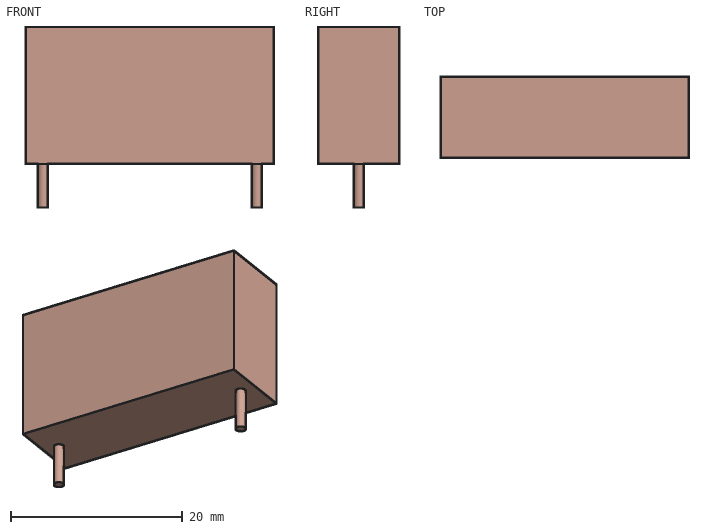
import cadquery as cq

LENGTH = 29.0
WIDTH = 9.5
HOUSING_HEIGHT = 16.0

TOTAL_HEIGHT = 21.1
PIN_DIAMETER = 1.2
PIN_SPACING = 25.0
PIN_LENGTH = TOTAL_HEIGHT - HOUSING_HEIGHT


def make_housing():
    """Plain block standing on the XY plane, centred on the Z axis."""
    return cq.Workplane("XY").box(LENGTH, WIDTH, HOUSING_HEIGHT, centered=(True, True, False))


def make_pin(x):
    """Straight round lead running down from the housing underside."""
    return cq.Workplane("XY").center(x, 0).circle(PIN_DIAMETER / 2).extrude(-PIN_LENGTH)


housing = make_housing()

pins = []
for side in (-1, 1):
    pin = make_pin(side * PIN_SPACING / 2)
    pins.append(pin.val())

result = cq.Compound.makeCompound([housing.val(), *pins])